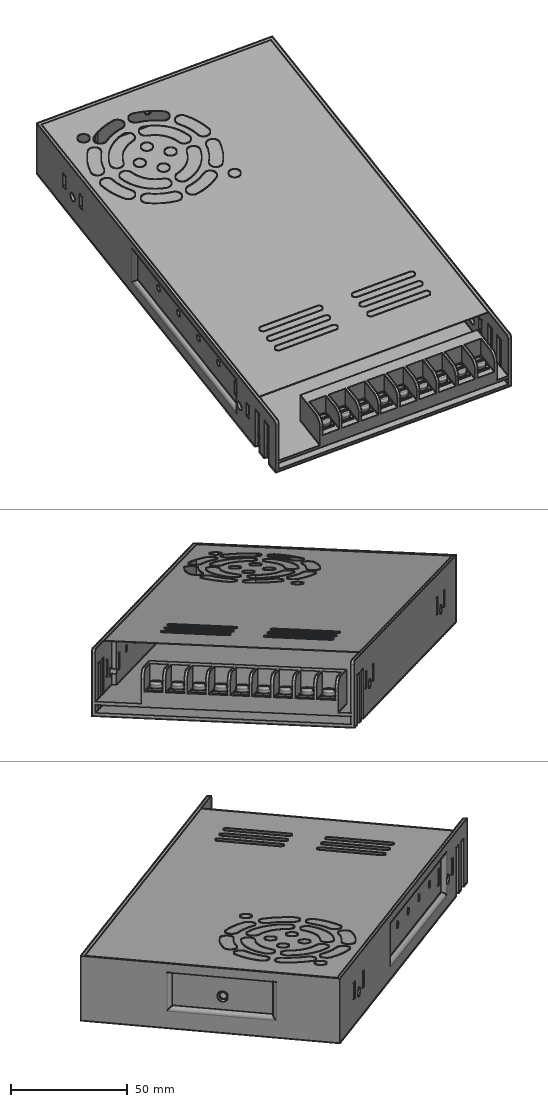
import cadquery as cq
import math


LENGTH = 215.0
WIDTH = 115.0
HEIGHT = 29.5
SHEET = 1.5
HALF_WIDTH = WIDTH / 2
COVER_END = 197.4
WALL_CORNER_RADIUS = 1.5
COVER_THICKNESS = 0.2

BOARD_BOTTOM = 5.0
BOARD_TOP = 6.5

CELL_COUNT = 9
CELL_PITCH = 9.5
DIVIDER = 1.3
CELL_START = 203.0
CELL_FLOOR = 11.8
BLOCK_TOP = 21.5
BLOCK_CENTER_Y = 7.3
BLOCK_CORNER_RADIUS = 4.3
BLOCK_WIDTH = CELL_COUNT * CELL_PITCH + DIVIDER

SCREW_X = 209.0
PLATE_SIZE = 6.5
PLATE_HEIGHT = 0.9
SCREW_DIAMETER = 5.8
SCREW_HEIGHT = 3.5
SCREW_EDGE_RADIUS = 1.0
SCREW_SLOT_WIDTH = 0.9
SCREW_SLOT_DEPTH = 1.0

FAN_X = 43.0
FAN_Y = -23.0
GRILLE_WIDTH = 6.0
GRILLE_GAP = 2.5
INNER_RING_RADIUS = 17.0
OUTER_RING_RADIUS = 26.2
FAN_HOLE_DIAMETER = 5.4
FAN_HOLE_CIRCLE_RADIUS = 7.5
FAN_SCREW_OFFSETS = ((25.2, 25.2), (-25.2, -21.3))

VENT_X = 167.3
VENT_PITCH = 6.9
VENT_LENGTH = 30.5
VENT_WIDTH = 3.2
VENT_ROWS_Y = (24.7, -20.5)

MOUNT_X = (32.2, 182.3)
MOUNT_HOLE_Z = 12.5
MOUNT_HOLE_DIAMETER = 4.0
MOUNT_SLOT_SPACING = 14.8
MOUNT_SLOT_WIDTH = 2.4
MOUNT_SLOT_BOTTOM = 12.0
MOUNT_SLOT_HEIGHT = 7.3

NOTCH_X = (198.5, 206.6)
NOTCH_WIDTH = 3.9
NOTCH_HEIGHT = 22.0

RECESS_DEPTH = 2.2
RIM_RADIUS = 2.0
RIM_MARGIN = 0.5
SIDE_RECESS_X = (85.1, 180.2)
SIDE_RECESS_Z = (5.8, 26.2)
SIDE_HOLE_START = 105.5
SIDE_HOLE_PITCH = 17.95
SIDE_HOLE_COUNT = 4
SIDE_HOLE_Z = 17.8
SIDE_HOLE_DIAMETER = 3.0
END_RECESS_Y = (-29.2, 19.4)
END_RECESS_Z = (8.0, 25.4)
END_HOLE_Z = 16.0
END_HOLE_DIAMETER = 3.2
END_SINK_DIAMETER = 4.7


def box(x_range, y_range, z_range):
    """Box given by its lower and upper limits along each axis."""
    size = [high - low for low, high in (x_range, y_range, z_range)]
    corner = cq.Vector(x_range[0], y_range[0], z_range[0])
    return cq.Workplane(obj=cq.Solid.makeBox(*size, corner))


def cylinder_y(x, z, diameter, y_start, length):
    """Cylinder running along +Y."""
    return cq.Workplane(
        obj=cq.Solid.makeCylinder(diameter / 2, length, cq.Vector(x, y_start, z), cq.Vector(0, 1, 0))
    )


def make_case():
    half_inside = HALF_WIDTH - SHEET
    case = box((0, LENGTH), (-HALF_WIDTH, HALF_WIDTH), (0, HEIGHT))
    case = case.cut(box((SHEET, LENGTH), (-half_inside, half_inside), (SHEET, HEIGHT)))
    case = case.edges("|Y").edges(">X and >Z").fillet(WALL_CORNER_RADIUS)
    board = box((0, LENGTH), (-half_inside, half_inside), (BOARD_BOTTOM, BOARD_TOP))
    cover = box((0, COVER_END), (-HALF_WIDTH, HALF_WIDTH), (HEIGHT - COVER_THICKNESS, HEIGHT))
    return case.union(board).union(cover)


def make_terminal_block():
    y_low = BLOCK_CENTER_Y - BLOCK_WIDTH / 2
    y_high = BLOCK_CENTER_Y + BLOCK_WIDTH / 2
    block = box((COVER_END, LENGTH), (y_low, y_high), (BOARD_TOP, BLOCK_TOP))
    block = block.edges("|Y").edges(">X and >Z").fillet(BLOCK_CORNER_RADIUS)
    plate = cq.Workplane().rect(PLATE_SIZE, PLATE_SIZE).extrude(PLATE_HEIGHT)
    screw = cq.Workplane().circle(SCREW_DIAMETER / 2).extrude(SCREW_HEIGHT)
    screw = screw.faces(">Z").edges().fillet(SCREW_EDGE_RADIUS)
    half_slot = SCREW_SLOT_WIDTH / 2
    screw = screw.cut(box((-half_slot, half_slot), (-SCREW_DIAMETER, SCREW_DIAMETER),
                          (SCREW_HEIGHT - SCREW_SLOT_DEPTH, SCREW_HEIGHT)))
    screw = screw.union(plate)
    cell_width = CELL_PITCH - DIVIDER
    for i in range(CELL_COUNT):
        cell_low = y_low + DIVIDER + i * CELL_PITCH
        cell_high = cell_low + cell_width
        block = block.cut(box((CELL_START, LENGTH), (cell_low, cell_high), (CELL_FLOOR, BLOCK_TOP)))
        block = block.union(screw.translate((SCREW_X, cell_low + cell_width / 2, CELL_FLOOR)))
    return block


def polar(radius, angle):
    return (radius * math.cos(angle), radius * math.sin(angle))


def curved_opening(radius, start, end):
    """Round-ended opening that follows a circle about the fan axis."""
    inner = radius - GRILLE_WIDTH / 2
    outer = radius + GRILLE_WIDTH / 2
    middle = (start + end) / 2
    band = (
        cq.Workplane()
        .moveTo(*polar(inner, start))
        .threePointArc(polar(inner, middle), polar(inner, end))
        .lineTo(*polar(outer, end))
        .threePointArc(polar(outer, middle), polar(outer, start))
        .close()
        .extrude(2 * SHEET)
    )
    caps = (
        cq.Workplane()
        .pushPoints([polar(radius, start), polar(radius, end)])
        .circle(GRILLE_WIDTH / 2)
        .extrude(2 * SHEET)
    )
    return band.union(caps)


def cut_fan_grille(part):
    floor = HEIGHT - 1.5 * SHEET
    for radius, count in ((INNER_RING_RADIUS, 4), (OUTER_RING_RADIUS, 8)):
        sector = 2 * math.pi / count
        margin = math.asin((GRILLE_GAP + GRILLE_WIDTH) / 2 / radius)
        for i in range(count):
            opening = curved_opening(radius, i * sector + margin, (i + 1) * sector - margin)
            part = part.cut(opening.translate((FAN_X, FAN_Y, floor)))
    places = [polar(FAN_HOLE_CIRCLE_RADIUS, i * math.pi / 2) for i in range(4)]
    places += FAN_SCREW_OFFSETS
    holes = cq.Workplane().pushPoints(places).circle(FAN_HOLE_DIAMETER / 2).extrude(2 * SHEET)
    return part.cut(holes.translate((FAN_X, FAN_Y, floor)))


def cut_vents(part):
    places = [(VENT_X + i * VENT_PITCH, y) for y in VENT_ROWS_Y for i in (-1, 0, 1)]
    vents = cq.Workplane().pushPoints(places).slot2D(VENT_LENGTH, VENT_WIDTH, 90).extrude(2 * SHEET)
    return part.cut(vents.translate((0, 0, HEIGHT - 1.5 * SHEET)))


def near(position, margin):
    return (position - margin, position + margin)


def widen(limits, margin):
    return (limits[0] - margin, limits[1] + margin)


def round_rim(pan, x_range, y_range, z_range):
    """Round the edges whose middles lie within the given limits."""
    low, high = zip(x_range, y_range, z_range)
    return pan.edges(cq.selectors.BoxSelector(low, high)).fillet(RIM_RADIUS)


def add_side_recess(part):
    """Recess in the -Y wall, with all four rims rounded and a row of holes in its floor."""
    y_wall = -HALF_WIDTH
    floor_x = widen(SIDE_RECESS_X, -RIM_RADIUS)
    floor_z = widen(SIDE_RECESS_Z, -RIM_RADIUS)
    pan_y = (y_wall, y_wall + RECESS_DEPTH + SHEET)
    pan = box(widen(SIDE_RECESS_X, RIM_MARGIN), pan_y, widen(SIDE_RECESS_Z, RIM_MARGIN))
    part = part.cut(pan)
    pan = pan.cut(box(floor_x, (y_wall, y_wall + RECESS_DEPTH), floor_z))
    pan = round_rim(pan, widen(floor_x, RIM_MARGIN), near(y_wall, RIM_MARGIN), widen(floor_z, RIM_MARGIN))
    for i in range(SIDE_HOLE_COUNT):
        x = SIDE_HOLE_START + i * SIDE_HOLE_PITCH
        pan = pan.cut(cylinder_y(x, SIDE_HOLE_Z, SIDE_HOLE_DIAMETER, y_wall, RECESS_DEPTH + SHEET))
    return part.union(pan)


def add_end_recess(part):
    """Recess in the -X wall with a sharp top edge, three rounded rims and a countersunk hole."""
    floor_y = widen(END_RECESS_Y, -RIM_RADIUS)
    floor_z = (END_RECESS_Z[0] + RIM_RADIUS, END_RECESS_Z[1])
    pan = box((0, RECESS_DEPTH + SHEET), widen(END_RECESS_Y, RIM_MARGIN), widen(END_RECESS_Z, RIM_MARGIN))
    part = part.cut(pan)
    pan = pan.cut(box((0, RECESS_DEPTH), floor_y, floor_z))
    rim_z = (floor_z[0] - RIM_MARGIN, floor_z[1] - RIM_MARGIN)
    pan = round_rim(pan, near(0, RIM_MARGIN), widen(floor_y, RIM_MARGIN), rim_z)
    sink_depth = (END_SINK_DIAMETER - END_HOLE_DIAMETER) / 2
    start = cq.Vector(RECESS_DEPTH, sum(END_RECESS_Y) / 2, END_HOLE_Z)
    along_x = cq.Vector(1, 0, 0)
    hole = cq.Solid.makeCylinder(END_HOLE_DIAMETER / 2, SHEET, start, along_x)
    sink = cq.Solid.makeCone(END_SINK_DIAMETER / 2, END_HOLE_DIAMETER / 2, sink_depth, start, along_x)
    return part.union(pan.cut(cq.Workplane(obj=hole)).cut(cq.Workplane(obj=sink)))


def cut_wall_openings(part):
    across = (-WIDTH, WIDTH)
    slot_z = (MOUNT_SLOT_BOTTOM, MOUNT_SLOT_BOTTOM + MOUNT_SLOT_HEIGHT)
    for x in MOUNT_X:
        part = part.cut(cylinder_y(x, MOUNT_HOLE_Z, MOUNT_HOLE_DIAMETER, -HALF_WIDTH, WIDTH))
        for side in (-1, 1):
            slot_start = x + side * MOUNT_SLOT_SPACING / 2 - MOUNT_SLOT_WIDTH / 2
            part = part.cut(box((slot_start, slot_start + MOUNT_SLOT_WIDTH), across, slot_z))
    half_inside = HALF_WIDTH - SHEET
    for x in NOTCH_X:
        notch_x = (x - NOTCH_WIDTH / 2, x + NOTCH_WIDTH / 2)
        for wall_y in ((-HALF_WIDTH, -half_inside), (half_inside, HALF_WIDTH)):
            part = part.cut(box(notch_x, wall_y, (0, NOTCH_HEIGHT)))
    return part


result = make_case()
result = add_side_recess(result)
result = add_end_recess(result)
result = cut_wall_openings(result)
result = cut_fan_grille(result)
result = cut_vents(result)
result = result.union(make_terminal_block())